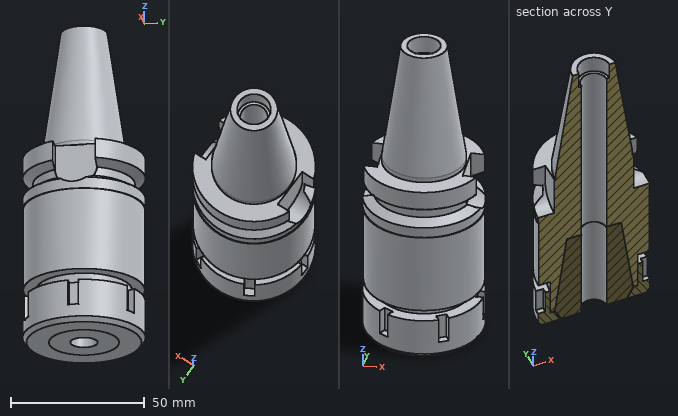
import cadquery as cq
import math


total_height = 123.4
taper_length = 48.4
gauge_z = total_height - taper_length
flange_gap = 2.0
flange_top_z = gauge_z - flange_gap
flange_bottom_z = gauge_z - 22.0
body_bottom_z = 20.8

gauge_radius = 31.75 / 2
taper_ratio = 7 / 24
small_end_radius = gauge_radius - taper_length * taper_ratio / 2
flange_radius = 23.0
body_radius = 22.75
neck_radius = 18.0

groove_mid_z = gauge_z - 13.6
groove_width = 8.0
groove_radius = 19.1
groove_flank_height = (flange_radius - groove_radius) * math.tan(math.radians(30))
groove_top_z = groove_mid_z + groove_width / 2
groove_bottom_z = groove_mid_z - groove_width / 2

keyway_width = 16.1
keyway_depth_from_flange = 17.15
keyway_floor_x = 16.3

mouth_radius = 12.5 / 2
mouth_depth = 7.0
bore_radius = 10.2 / 2

nut_height = 16.4
nut_radius = 23.0
nut_chamfer_height = 1.8
nut_chamfer_width = 1.5
wrench_slot_count = 6
wrench_slot_width = 4.0
wrench_slot_height = 9.8
wrench_slot_floor_radius = 20.0

neck_bottom_z = 5.0
collet_length = 40.0
collet_max_radius = 16.0
collet_rear_radius = collet_max_radius - (collet_length - neck_bottom_z) * math.tan(math.radians(8))
collet_nose_radius = collet_max_radius - neck_bottom_z * math.tan(math.radians(30))


def revolved(outline):
    """Turn a closed (radius, height) outline around the Z axis."""
    return cq.Workplane("XZ").polyline(outline).close().revolve(360, (0, 0, 0), (0, 1, 0))


def keyway(side):
    """Cutter for one keyway: a slot with a round lower end, open at the side and at the flange top."""
    half_width = keyway_width / 2
    arc_center_z = flange_top_z - keyway_depth_from_flange + half_width
    return (
        cq.Workplane("YZ", origin=(side * keyway_floor_x, 0, 0))
        .moveTo(-half_width, flange_top_z)
        .lineTo(-half_width, arc_center_z)
        .threePointArc((0, arc_center_z - half_width), (half_width, arc_center_z))
        .lineTo(half_width, flange_top_z)
        .close()
        .extrude(side * flange_radius)
    )


def make_holder():
    holder = revolved([
        (bore_radius, total_height - mouth_depth),
        (mouth_radius, total_height - mouth_depth),
        (mouth_radius, total_height),
        (small_end_radius, total_height),
        (gauge_radius, gauge_z),
        (gauge_radius, flange_top_z),
        (flange_radius, flange_top_z),
        (flange_radius, groove_top_z),
        (groove_radius, groove_top_z - groove_flank_height),
        (groove_radius, groove_bottom_z + groove_flank_height),
        (flange_radius, groove_bottom_z),
        (flange_radius, flange_bottom_z),
        (body_radius, flange_bottom_z),
        (body_radius, body_bottom_z),
        (neck_radius, body_bottom_z),
        (neck_radius, neck_bottom_z),
        (collet_max_radius, neck_bottom_z),
        (collet_rear_radius, collet_length),
        (bore_radius, collet_length),
    ])
    for side in (-1, 1):
        holder = holder.cut(keyway(side))
    return holder


def make_nut():
    nut = revolved([
        (collet_nose_radius, 0),
        (nut_radius - nut_chamfer_width, 0),
        (nut_radius, nut_chamfer_height),
        (nut_radius, nut_height),
        (neck_radius, nut_height),
        (neck_radius, neck_bottom_z),
        (collet_max_radius, neck_bottom_z),
    ])
    slot_cutter = cq.Workplane("XY").box(
        nut_radius, wrench_slot_width, wrench_slot_height, centered=(False, True, False)
    ).translate((wrench_slot_floor_radius, 0, nut_height - wrench_slot_height))
    for index in range(wrench_slot_count):
        angle = index * 360 / wrench_slot_count
        nut = nut.cut(slot_cutter.rotate((0, 0, 0), (0, 0, 1), angle))
    return nut


def make_collet():
    return revolved([
        (bore_radius, 0),
        (collet_nose_radius, 0),
        (collet_max_radius, neck_bottom_z),
        (collet_rear_radius, collet_length),
        (bore_radius, collet_length),
    ])


holder = make_holder()
nut = make_nut()
collet = make_collet()

result = cq.Compound.makeCompound([holder.val(), nut.val(), collet.val()])